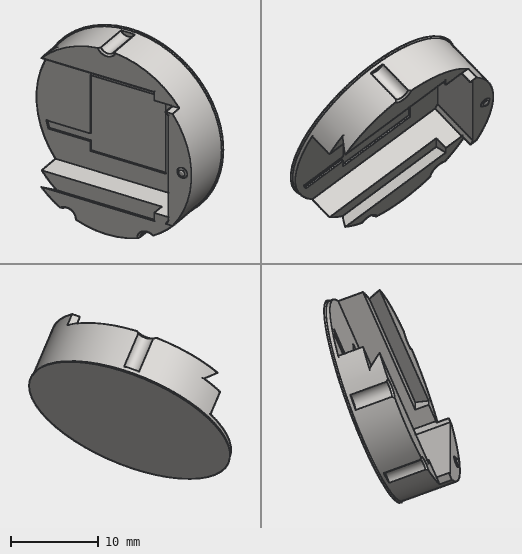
import cadquery as cq
import math

total_depth = 7.25
flange_radius = 12.38
flange_thickness = 0.22
body_radius = 12.25
body_height = 5.45
block_height = 6.95
floor_height = 0.7

channel_half_width = 7.47
channel_end_x = 9.15
corner_length = 0.4
corner_width = 0.57
block_half_width = 7.45

groove_floor_height = 3.75
groove_mouth_half_width = 8.56
groove_floor_half_width = 9.5
groove_end_x = 6.35

recess_depth = 0.25
recess_half_side = 5.05
slot_top_z = -2.72
slot_bottom_z = -3.75
slot_top_x = -10.95
slot_bottom_x = -10.65

notch_radius = 1.06
notch_center_radius = 12.75
notch_chamfer = 0.25
notch_angles = (90, 245, 295)

pin_x = 11.01
pin_base_radius = 0.67
pin_waist_radius = 0.42
pin_tip_radius = 0.2
pin_waist_height = 0.12


def plane_at(height):
    """XZ sketch plane at a height in front of the back face."""
    return cq.Workplane("XZ", origin=(0, total_depth / 2 - height, 0))


def cylinder(radius, bottom, top):
    return plane_at(bottom).circle(radius).extrude(top - bottom)


def make_blank():
    """Disc with a tapered flange and a taller block at its +X end."""
    block_start_x = channel_end_x - corner_length
    block_length = flange_radius - block_start_x
    block = (
        plane_at(floor_height)
        .center(block_start_x + block_length / 2, 0)
        .rect(block_length, 2 * block_half_width)
        .extrude(block_height - floor_height)
        .intersect(cylinder(body_radius, floor_height, block_height))
    )
    flange = (
        plane_at(0)
        .circle(flange_radius)
        .workplane(offset=flange_thickness)
        .circle(body_radius)
        .loft()
    )
    return flange.union(cylinder(body_radius, 0, body_height)).union(block)


def make_channel():
    """Channel cutter with chamfered corners at its closed end."""
    channel_length = flange_radius + channel_end_x
    return (
        plane_at(floor_height)
        .center(channel_end_x - channel_length / 2, 0)
        .rect(channel_length, 2 * channel_half_width)
        .extrude(total_depth - floor_height)
        .faces(">X")
        .edges("|Y")
        .chamfer(corner_length, corner_width)
    )


def make_grooves():
    """Dovetail prism that undercuts both channel walls."""
    floor_y = total_depth / 2 - groove_floor_height
    mouth_y = total_depth / 2 - body_height
    return (
        cq.Workplane("YZ", origin=(-flange_radius, 0, 0))
        .moveTo(floor_y, -groove_floor_half_width)
        .lineTo(floor_y, groove_floor_half_width)
        .lineTo(mouth_y, groove_mouth_half_width)
        .lineTo(mouth_y, -groove_mouth_half_width)
        .close()
        .extrude(flange_radius + groove_end_x)
    )


def make_recess():
    return (
        plane_at(floor_height - recess_depth)
        .moveTo(-recess_half_side, recess_half_side)
        .lineTo(recess_half_side, recess_half_side)
        .lineTo(recess_half_side, -recess_half_side)
        .lineTo(-recess_half_side, -recess_half_side)
        .lineTo(-recess_half_side, slot_bottom_z)
        .lineTo(slot_bottom_x, slot_bottom_z)
        .lineTo(slot_top_x, slot_top_z)
        .lineTo(-recess_half_side, slot_top_z)
        .close()
        .extrude(recess_depth)
    )


def make_notch(angle):
    """Round rim notch with a chamfered mouth, at an angle from +X toward +Z."""
    x = notch_center_radius * math.cos(math.radians(angle))
    z = notch_center_radius * math.sin(math.radians(angle))
    return (
        plane_at(floor_height)
        .center(x, z)
        .circle(notch_radius)
        .extrude(body_height - floor_height)
        .union(
            plane_at(body_height - notch_chamfer)
            .center(x, z)
            .circle(notch_radius)
            .workplane(offset=notch_chamfer)
            .circle(notch_radius + notch_chamfer)
            .loft()
        )
    )


def make_pin():
    """Turned pin with a conical base and a rounded flat tip."""
    pin_height = total_depth - block_height
    round_width = pin_waist_radius - pin_tip_radius
    round_height = pin_height - pin_waist_height
    diagonal = math.sqrt(0.5)
    round_middle = (
        pin_tip_radius + round_width * diagonal,
        -pin_waist_height - round_height * diagonal,
    )
    return (
        cq.Workplane("XY", origin=(pin_x, total_depth / 2 - block_height, 0))
        .lineTo(pin_base_radius, 0)
        .lineTo(pin_waist_radius, -pin_waist_height)
        .threePointArc(round_middle, (pin_tip_radius, -pin_height))
        .lineTo(0, -pin_height)
        .close()
        .revolve(360, (0, 0, 0), (0, 1, 0))
    )


result = make_blank().cut(make_channel()).cut(make_grooves()).cut(make_recess())
for notch_angle in notch_angles:
    result = result.cut(make_notch(notch_angle))
result = result.union(make_pin())